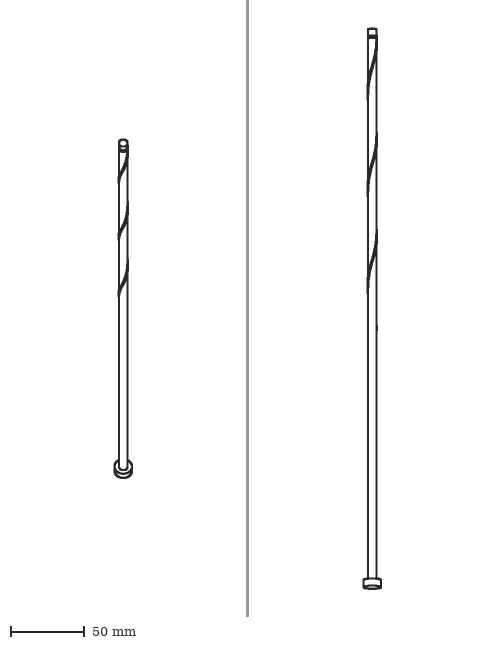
import cadquery as cq

head_diameter = 12.0
head_height = 5.0
shaft_diameter = 6.0
total_length = 384.2

ring_offset = 5.5
ring_width = 1.5
ring_depth = 0.3

helix_pitch = 66.7
helix_turns = 3.0
helix_groove_height = 2.5
helix_groove_depth = 0.3
helix_top_angle = 90.0

full_turn = 360.0
shaft_radius = shaft_diameter / 2
ring_level = total_length - ring_offset
helix_rise = helix_pitch * helix_turns


def make_pin():
    head = cq.Workplane("XY").circle(head_diameter / 2).extrude(head_height)
    shaft = cq.Workplane("XY").circle(shaft_radius).extrude(total_length)
    return head.union(shaft).rotate((0, 0, 0), (0, 0, 1), full_turn / 2)


def make_ring_cutter():
    section = (
        cq.Workplane("XZ")
        .center(shaft_radius, ring_level)
        .rect(2 * ring_depth, ring_width)
    )
    return section.revolve(full_turn, (-shaft_radius, 0, 0), (-shaft_radius, 1, 0))


def make_helix_cutter():
    path = cq.Workplane("XY").add(cq.Wire.makeHelix(helix_pitch, helix_rise, shaft_radius))
    section = (
        cq.Workplane("XZ")
        .center(shaft_radius, 0)
        .rect(2 * helix_groove_depth, helix_groove_height)
    )
    cutter = section.sweep(path, isFrenet=True)
    start_angle = helix_top_angle - full_turn * helix_turns
    cutter = cutter.rotate((0, 0, 0), (0, 0, 1), start_angle)
    return cutter.translate((0, 0, ring_level - helix_rise))


result = make_pin().cut(make_ring_cutter()).cut(make_helix_cutter())